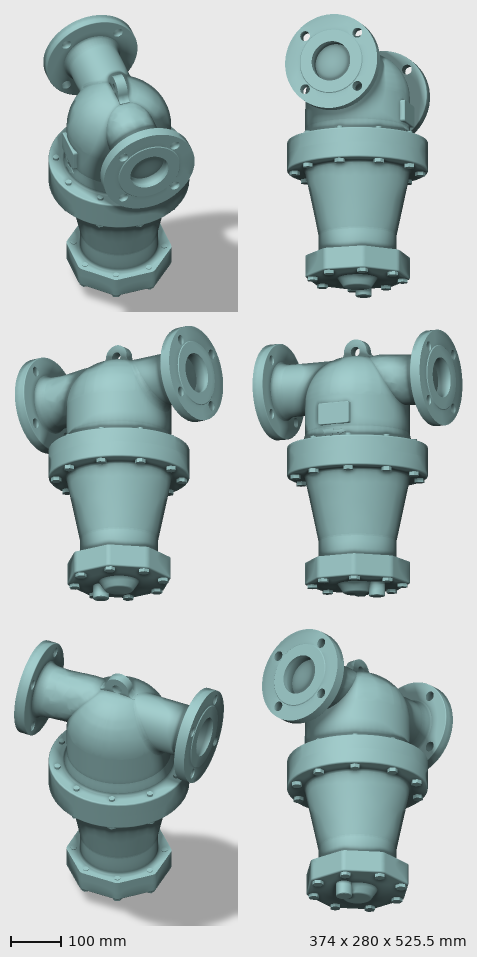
import cadquery as cq
import math


END_X = 187.0
RAISED_FACE_HEIGHT = 1.5
RAISED_FACE_R = 63.5
FLANGE_R = 191.0 / 2
FLANGE_FACE_X = END_X - RAISED_FACE_HEIGHT
FLANGE_THICKNESS = 22.0
FLANGE_BACK_X = FLANGE_FACE_X - FLANGE_THICKNESS
FLANGE_EDGE_FILLET = 1.5
BORE_R = 80.0 / 2
BORE_DEPTH = 28.0
PIPE_R = 104.0 / 2
NECK_START_X = 143.5
NECK_END_X = 160.5
NECK_R = 56.0
NECK_FILLET = FLANGE_BACK_X - NECK_END_X
PIPE_HOLE_D = 20.0
PIPE_HOLE_COUNT = 4
PIPE_HOLE_CIRCLE_R = 76.5
PIPE_HOLE_START_ANGLE = 180.0 / PIPE_HOLE_COUNT
INLET_FILLET = 12.0

OUTLET_SECTIONS = [
    (NECK_START_X, PIPE_R, -PIPE_R),
    (105.0, 52.3, -48.5),
    (70.0, 56.0, -46.0),
    (30.0, 51.8, -46.0),
]

BODY_R = 208.0 / 2
DOME_BASE_Z = -37.5
DOME_SHOULDER_R = 93.0
DOME_TOP_Z = DOME_BASE_Z + DOME_SHOULDER_R
DOME_FLAT_R = BODY_R - DOME_SHOULDER_R
SKIRT_TOP_Z = -100.5
SKIRT_BOTTOM_Z = -120.0
SKIRT_R = 109.5
SKIRT_FOOT_FILLET = 5.0

MAIN_FLANGE_R = 280.0 / 2
MAIN_FLANGE_TOP_Z = SKIRT_BOTTOM_Z - SKIRT_FOOT_FILLET
MAIN_FLANGE_UPPER_THICKNESS = 30.0
MAIN_FLANGE_LOWER_THICKNESS = 31.0
MAIN_SEAM_Z = MAIN_FLANGE_TOP_Z - MAIN_FLANGE_UPPER_THICKNESS
MAIN_FLANGE_BOTTOM_Z = MAIN_SEAM_Z - MAIN_FLANGE_LOWER_THICKNESS
MAIN_FLANGE_FILLET = 3.0
MAIN_BOLT_COUNT = 10
MAIN_BOLT_CIRCLE_R = 125.0
MAIN_STUD_HEIGHT = 5.0
MAIN_HEAD_HEIGHT = 7.5
MAIN_HEX_ACROSS_FLATS = 18.0

CONE_TOP_R = BODY_R
CONE_TOP_FILLET = 4.5
CONE_TOP_Z = MAIN_FLANGE_BOTTOM_Z - CONE_TOP_FILLET
CONE_BOTTOM_Z = -316.0
BARREL_R = 155.0 / 2
BARREL_FOOT_FILLET = 5.0
CONE_BLEND_R = 15.0

OCTAGON_SIDES = 8
OCTAGON_FLATS = 195.0
OCTAGON_CORNER_R = 14.0
OCTAGON_TOP_Z = -359.0
COVER_SEAM_Z = -381.0
COVER_BOTTOM_Z = -403.0
COVER_EDGE_FILLET = 3.0
COVER_BOLT_COUNT = OCTAGON_SIDES
COVER_BOLT_CIRCLE_R = 90.0
COVER_STUD_HEIGHT = 1.5
COVER_HEAD_HEIGHT = 6.5
COVER_HEX_ACROSS_FLATS = 19.0
COVER_BOLT_START_ANGLE = 180.0 / COVER_BOLT_COUNT

STUD_R = 12.0 / 2

BOSS_BASE_R = 40.0
BOSS_TIP_R = 27.5
BOSS_HEIGHT = 18.0
BOSS_TIP_FILLET = 5.0
DRAIN_R = 32.0 / 2
DRAIN_X = 43.2
DRAIN_BOTTOM_Z = -430.0
DRAIN_CHAMFER = 1.0

LUG_R = 25.0
LUG_HOLE_D = 20.0
LUG_Z = 65.4
LUG_THICKNESS = 20.0
LUG_FOOT_R = 12.0
LUG_ROOT_Z = 40.0

PLATE_WIDTH = 68.0
PLATE_HEIGHT = 43.5
PLATE_Z = -74.0
PLATE_FACE_Y = -108.0
PLATE_CORNER_R = 4.0
PLATE_EDGE_FILLET = 1.5

ARROW_TAIL_X = -26.0
ARROW_NOTCH_X = -21.0
ARROW_SHOULDER_X = -1.0
ARROW_HEAD_X = 14.0
ARROW_TIP_X = 26.5
ARROW_Z = -112.2
ARROW_HALF_HEIGHT = 7.0
ARROW_STEM_HALF_HEIGHT = 3.0
ARROW_RELIEF = 1.5

WALL_ROOT_Y = -90.0

OVERLAP = 2.0


def spun_about_z(outline):
    return outline.close().revolve(360, (0, 0, 0), (0, 1, 0))


def upper_casing():
    """Flat-topped round dome, cylinder, flared skirt and upper half of the main flange."""
    outline = (
        cq.Workplane("XZ")
        .moveTo(0, MAIN_SEAM_Z)
        .lineTo(MAIN_FLANGE_R, MAIN_SEAM_Z)
        .lineTo(MAIN_FLANGE_R, MAIN_FLANGE_TOP_Z - MAIN_FLANGE_FILLET)
        .radiusArc((MAIN_FLANGE_R - MAIN_FLANGE_FILLET, MAIN_FLANGE_TOP_Z), -MAIN_FLANGE_FILLET)
        .lineTo(SKIRT_R + SKIRT_FOOT_FILLET, MAIN_FLANGE_TOP_Z)
        .radiusArc((SKIRT_R, SKIRT_BOTTOM_Z), SKIRT_FOOT_FILLET)
        .lineTo(BODY_R, SKIRT_TOP_Z)
        .lineTo(BODY_R, DOME_BASE_Z)
        .radiusArc((DOME_FLAT_R, DOME_TOP_Z), -DOME_SHOULDER_R)
        .lineTo(0, DOME_TOP_Z)
    )
    return spun_about_z(outline)


def lower_casing():
    """Lower half of the main flange, cone and barrel."""
    flange_fillet_z = MAIN_FLANGE_BOTTOM_Z + MAIN_FLANGE_FILLET
    barrel_foot_z = OCTAGON_TOP_Z + BARREL_FOOT_FILLET
    outline = (
        cq.Workplane("XZ")
        .moveTo(0, MAIN_SEAM_Z)
        .lineTo(MAIN_FLANGE_R, MAIN_SEAM_Z)
        .lineTo(MAIN_FLANGE_R, flange_fillet_z)
        .radiusArc((MAIN_FLANGE_R - MAIN_FLANGE_FILLET, MAIN_FLANGE_BOTTOM_Z), MAIN_FLANGE_FILLET)
        .lineTo(CONE_TOP_R + CONE_TOP_FILLET, MAIN_FLANGE_BOTTOM_Z)
        .radiusArc((CONE_TOP_R, CONE_TOP_Z), -CONE_TOP_FILLET)
        .lineTo(BARREL_R, CONE_BOTTOM_Z)
        .lineTo(BARREL_R, barrel_foot_z)
        .radiusArc((BARREL_R + BARREL_FOOT_FILLET, OCTAGON_TOP_Z), -BARREL_FOOT_FILLET)
        .lineTo(0, OCTAGON_TOP_Z)
    )
    casing = spun_about_z(outline)
    cone_end = cq.selectors.BoxSelector(
        (-BODY_R, -BODY_R, CONE_BOTTOM_Z - OVERLAP), (BODY_R, BODY_R, CONE_BOTTOM_Z + OVERLAP)
    )
    return casing.edges(cone_end).edges("%CIRCLE").fillet(CONE_BLEND_R)


def octagon_plate(top_z, bottom_z):
    corner_diameter = OCTAGON_FLATS / math.cos(math.pi / OCTAGON_SIDES)
    return (
        cq.Workplane("XY")
        .workplane(offset=bottom_z)
        .transformed(rotate=(0, 0, COVER_BOLT_START_ANGLE))
        .polygon(OCTAGON_SIDES, corner_diameter)
        .extrude(top_z - bottom_z)
        .edges("|Z")
        .fillet(OCTAGON_CORNER_R)
    )


def bottom_cover():
    """Octagonal cover with its tapered boss and the offset drain stub."""
    plate = octagon_plate(COVER_SEAM_Z, COVER_BOTTOM_Z).faces("<Z").edges().fillet(COVER_EDGE_FILLET)
    boss = (
        cq.Workplane("XZ", origin=(0, 0, COVER_BOTTOM_Z))
        .lineTo(BOSS_BASE_R, 0)
        .lineTo(BOSS_TIP_R, -BOSS_HEIGHT)
        .lineTo(0, -BOSS_HEIGHT)
        .close()
        .revolve(360, (0, 0, 0), (0, 1, 0))
        .faces("<Z")
        .edges()
        .fillet(BOSS_TIP_FILLET)
    )
    drain = (
        cq.Workplane("XY", origin=(DRAIN_X, 0, DRAIN_BOTTOM_Z))
        .circle(DRAIN_R)
        .extrude(COVER_BOTTOM_Z + OVERLAP - DRAIN_BOTTOM_Z)
        .faces("<Z")
        .chamfer(DRAIN_CHAMFER)
    )
    return plate.union(boss).union(drain)


def stud_end(circle_r, face_z, height):
    return (
        cq.Workplane("XY", origin=(circle_r, 0, face_z - OVERLAP))
        .circle(STUD_R)
        .extrude(height + OVERLAP)
    )


def hex_head(circle_r, face_z, height, across_flats, turn):
    """Hexagon under a face; turn 0 points a corner away from the body axis, 30 a flat."""
    across_corners = across_flats / math.cos(math.pi / 6)
    return (
        cq.Workplane("XY", origin=(circle_r, 0, face_z - height))
        .transformed(rotate=(0, 0, turn))
        .polygon(6, across_corners)
        .extrude(height + OVERLAP)
    )


def ring_of(shape, count, start_angle):
    """Evenly spaced copies of a shape around the body axis."""
    ring = cq.Workplane("XY")
    for i in range(count):
        angle = start_angle + i * 360.0 / count
        ring.add(shape.rotate((0, 0, 0), (0, 0, 1), angle).vals())
    return ring


def main_bolts():
    stud = stud_end(MAIN_BOLT_CIRCLE_R, MAIN_FLANGE_TOP_Z, MAIN_STUD_HEIGHT)
    head = hex_head(MAIN_BOLT_CIRCLE_R, MAIN_FLANGE_BOTTOM_Z, MAIN_HEAD_HEIGHT, MAIN_HEX_ACROSS_FLATS, 0)
    return ring_of(stud.add(head), MAIN_BOLT_COUNT, 0)


def cover_bolts():
    stud = stud_end(COVER_BOLT_CIRCLE_R, OCTAGON_TOP_Z, COVER_STUD_HEIGHT)
    head = hex_head(COVER_BOLT_CIRCLE_R, COVER_BOTTOM_Z, COVER_HEAD_HEIGHT, COVER_HEX_ACROSS_FLATS, 30)
    return ring_of(stud.add(head), COVER_BOLT_COUNT, COVER_BOLT_START_ANGLE)


def pipe_end():
    """Raised-face flange and flared neck on the +X side, ending where the plain pipe begins."""
    flare_length = NECK_END_X - NECK_START_X
    flare_rise = NECK_R - PIPE_R
    neck_flare_r = (flare_length**2 + flare_rise**2) / (2 * flare_rise)
    neck_top_r = NECK_R + NECK_FILLET
    return (
        cq.Workplane("XY")
        .moveTo(NECK_START_X, 0)
        .lineTo(NECK_START_X, PIPE_R)
        .radiusArc((NECK_END_X, NECK_R), -neck_flare_r)
        .tangentArcPoint((FLANGE_BACK_X, neck_top_r), relative=False)
        .lineTo(FLANGE_BACK_X, FLANGE_R - FLANGE_EDGE_FILLET)
        .radiusArc((FLANGE_BACK_X + FLANGE_EDGE_FILLET, FLANGE_R), FLANGE_EDGE_FILLET)
        .lineTo(FLANGE_FACE_X, FLANGE_R)
        .lineTo(FLANGE_FACE_X, RAISED_FACE_R + RAISED_FACE_HEIGHT)
        .lineTo(END_X, RAISED_FACE_R)
        .lineTo(END_X, 0)
        .close()
        .revolve(360, (0, 0, 0), (1, 0, 0))
    )


def casing_with_inlet():
    """Upper casing joined to the straight inlet pipe by a fillet around their meeting line."""
    pipe = cq.Workplane("YZ").circle(PIPE_R).extrude(-NECK_START_X)
    meeting_line = cq.selectors.BoxSelector(
        (-BODY_R - OVERLAP, -PIPE_R - OVERLAP, -PIPE_R - OVERLAP),
        (-DOME_FLAT_R - OVERLAP, PIPE_R + OVERLAP, PIPE_R + OVERLAP),
    )
    return upper_casing().union(pipe).edges(meeting_line).fillet(INLET_FILLET)


def outlet_pipe():
    """Pipe rising slightly from the round neck to the dome, with elliptical sections."""
    wires = []
    for x, top_z, bottom_z in OUTLET_SECTIONS:
        section = cq.Workplane("YZ", origin=(x, 0, (top_z + bottom_z) / 2))
        wires.append(section.ellipse(PIPE_R, (top_z - bottom_z) / 2).wires().val())
    return cq.Workplane(cq.Solid.makeLoft(wires))


def pipe_cuts(end_x, inward):
    """Bore and bolt holes of one pipe flange; inward is the sign of X leading into the body."""
    plane = cq.Workplane("YZ", origin=(end_x, 0, 0))
    bore = plane.circle(BORE_R).extrude(inward * BORE_DEPTH)
    holes = (
        plane.polarArray(PIPE_HOLE_CIRCLE_R, PIPE_HOLE_START_ANGLE, 360, PIPE_HOLE_COUNT)
        .circle(PIPE_HOLE_D / 2)
        .extrude(inward * (END_X - FLANGE_BACK_X))
    )
    return bore.union(holes)


def lug_foot(base_z):
    """Centre height and X offset of a foot arc touching the lug circle and a level base."""
    center_z = base_z + LUG_FOOT_R
    center_x = math.sqrt((LUG_R + LUG_FOOT_R) ** 2 - (center_z - LUG_Z) ** 2)
    return center_x, center_z


def lifting_lug():
    """Round eye whose concave feet run out on the inlet pipe (-X) and the outlet pipe (+X)."""
    share = LUG_R / (LUG_R + LUG_FOOT_R)
    in_x, in_z = lug_foot(PIPE_R)
    out_x, out_z = lug_foot(DOME_TOP_Z)
    return (
        cq.Workplane("XZ")
        .moveTo(-in_x, LUG_ROOT_Z)
        .lineTo(-in_x, PIPE_R)
        .radiusArc((-in_x * share, LUG_Z + (in_z - LUG_Z) * share), -LUG_FOOT_R)
        .threePointArc((0, LUG_Z + LUG_R), (out_x * share, LUG_Z + (out_z - LUG_Z) * share))
        .radiusArc((out_x, DOME_TOP_Z), -LUG_FOOT_R)
        .lineTo(out_x, LUG_ROOT_Z)
        .close()
        .extrude(LUG_THICKNESS / 2, both=True)
    )


def lug_hole():
    return (
        cq.Workplane("XZ", origin=(0, 0, LUG_Z))
        .circle(LUG_HOLE_D / 2)
        .extrude(LUG_THICKNESS, both=True)
    )


def name_plate():
    return (
        cq.Workplane("XZ", origin=(0, WALL_ROOT_Y, PLATE_Z))
        .rect(PLATE_WIDTH, PLATE_HEIGHT)
        .extrude(WALL_ROOT_Y - PLATE_FACE_Y)
        .edges("|Y")
        .fillet(PLATE_CORNER_R)
        .faces("<Y")
        .edges()
        .fillet(PLATE_EDGE_FILLET)
    )


def flow_arrow():
    """Raised arrow that follows the flared skirt and points along +X."""
    upper_half = [
        (ARROW_NOTCH_X, 0),
        (ARROW_TAIL_X, ARROW_HALF_HEIGHT),
        (ARROW_SHOULDER_X, ARROW_HALF_HEIGHT),
        (ARROW_SHOULDER_X, ARROW_STEM_HALF_HEIGHT),
        (ARROW_HEAD_X, ARROW_STEM_HALF_HEIGHT),
        (ARROW_HEAD_X, ARROW_HALF_HEIGHT),
    ]
    lower_half = [(x, -z) for x, z in reversed(upper_half[1:])]
    arrow = (
        cq.Workplane("XZ", origin=(0, WALL_ROOT_Y, ARROW_Z))
        .polyline(upper_half + [(ARROW_TIP_X, 0)] + lower_half)
        .close()
        .extrude(MAIN_FLANGE_R + WALL_ROOT_Y)
    )
    limit_outline = (
        cq.Workplane("XZ")
        .moveTo(0, SKIRT_TOP_Z)
        .lineTo(BODY_R + ARROW_RELIEF, SKIRT_TOP_Z)
        .lineTo(SKIRT_R + ARROW_RELIEF, SKIRT_BOTTOM_Z)
        .lineTo(0, SKIRT_BOTTOM_Z)
    )
    return arrow.intersect(spun_about_z(limit_outline))


def build():
    casing = casing_with_inlet()
    casing = casing.union(pipe_end().mirror("YZ")).union(pipe_end()).union(outlet_pipe())
    casing = casing.union(lifting_lug()).union(name_plate()).union(flow_arrow())
    casing = casing.cut(lug_hole())
    casing = casing.cut(pipe_cuts(-END_X, 1)).cut(pipe_cuts(END_X, -1))

    part = casing.union(lower_casing(), clean=False)
    part = part.union(octagon_plate(OCTAGON_TOP_Z, COVER_SEAM_Z), clean=False)
    part = part.union(bottom_cover(), clean=False)
    return part.union(main_bolts(), clean=False).union(cover_bolts(), clean=False)


result = build()